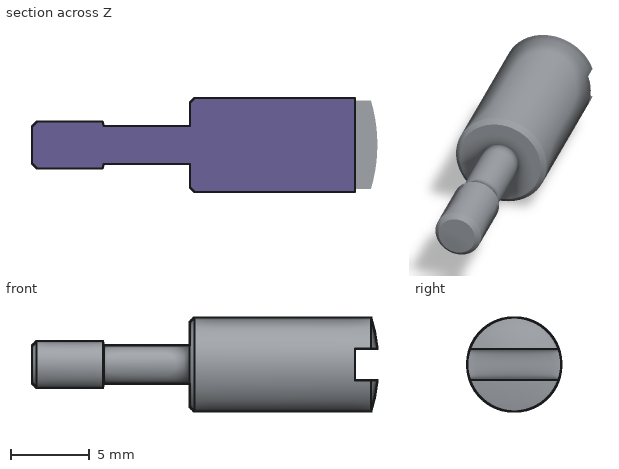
import cadquery as cq
import math

overall_length = 21.95
tip_radius = 3.0 / 2
tip_length = 4.5
tip_chamfer = 0.3
tip_back_chamfer_length = 0.07
neck_radius = 2.45 / 2
head_radius = 6.0 / 2
head_start = 10.0
head_chamfer = 0.3
dome_radius = 10.0
slot_width = 2.0
slot_floor = 20.51

dome_center = overall_length - math.sqrt(dome_radius**2 - (slot_width / 2) ** 2)
dome_apex = dome_center + dome_radius
dome_start = dome_center + math.sqrt(dome_radius**2 - head_radius**2)


def dome_point(angle):
    """Point on the dome profile at an angle from the screw axis."""
    return dome_center + dome_radius * math.cos(angle), dome_radius * math.sin(angle)


def turned_body():
    """Tip, neck and domed head revolved about the X axis."""
    half_dome_angle = math.asin(head_radius / dome_radius) / 2
    profile = (
        cq.Workplane("XY")
        .moveTo(0, 0)
        .lineTo(0, tip_radius - tip_chamfer)
        .lineTo(tip_chamfer, tip_radius)
        .lineTo(tip_length, tip_radius)
        .lineTo(tip_length + tip_back_chamfer_length, neck_radius)
        .lineTo(head_start, neck_radius)
        .lineTo(head_start, head_radius - head_chamfer)
        .lineTo(head_start + head_chamfer, head_radius)
        .lineTo(dome_start, head_radius)
        .threePointArc(dome_point(half_dome_angle), (dome_apex, 0))
        .close()
    )
    return profile.revolve(360, (0, 0, 0), (1, 0, 0))


def driver_slot():
    """Straight slot running along Y through the domed end."""
    slot_depth = dome_apex - slot_floor
    return (
        cq.Workplane("XY")
        .box(slot_depth, 2 * head_radius, slot_width, centered=(False, True, True))
        .translate((slot_floor, 0, 0))
    )


result = turned_body().cut(driver_slot())